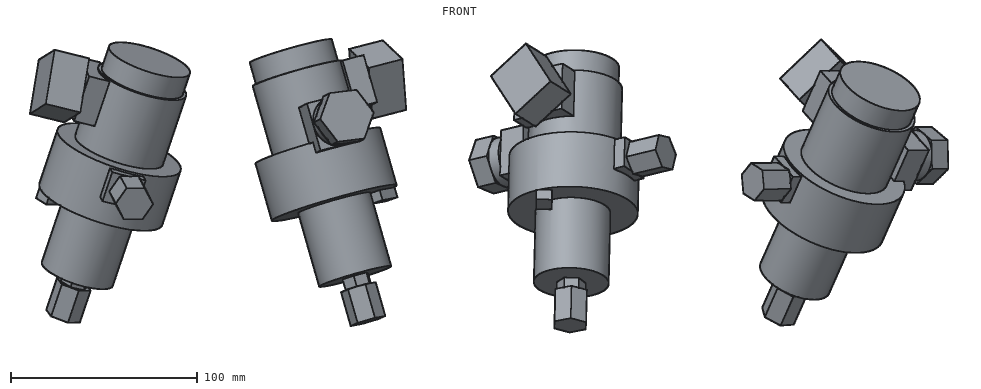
import cadquery as cq

LEAN_SIDE = 0.0242
LEAN_BACK = 0.4323
PORT_SLOPE_Y = -0.61
port_slope_z = -(LEAN_SIDE + LEAN_BACK * PORT_SLOPE_Y)

BONNET_DIA = 40.3
FLANGE_DIA = 69.8
BARREL_DIA = 49.8
CAP_DIA = 46.0
FLANGE_BOTTOM = 41.1
FLANGE_TOP = 73.1
BARREL_TOP = 113.6
CAP_TOP = 126.2

PAD_LENGTH = 30.5
PAD_HEIGHT = 26.4
PAD_CENTRE_X = -2.2
PAD_CENTRE_Z = 99.8
PAD_BACK = 20.6
PAD_FACE = 33.0
HEAD_CENTRE_X = -0.5
HEAD_CENTRE_Z = 99.6
HEAD_DEPTH = 19.9
HEAD_TURN = 57.3

INLET_Z = 80.4
INLET_BLOCK_INNER = 25.6
INLET_BLOCK_OUTER = 40.0
INLET_BLOCK_Y = 1.1
INLET_BLOCK_WIDTH = 25.1
INLET_BLOCK_HEIGHT = 26.4
COLLAR_DIA = 27.0
COLLAR_END = 46.4
INLET_HEX_END = 57.7
INLET_HEX_DIA = 30.7
INLET_HEX_TURN = 7

OUTLET_Z = 63.5
OUTLET_BLOCK_INNER = 33.7
OUTLET_BLOCK_OUTER = 40.2
OUTLET_BLOCK_Y = -2.2
OUTLET_BLOCK_WIDTH = 19.2
OUTLET_BLOCK_HEIGHT = 17
OUTLET_HEX_END = 59
OUTLET_HEX_DIA = 20.5
OUTLET_HEX_TURN = 13

SHANK_DIA = 15.5
SHANK_LENGTH = 6.0
SCREW_HEAD_DIA = 19.5
SCREW_HEAD_LENGTH = 19.0
SCREW_TURN = 5
HALF_FLAT_TURN = 30

TAB_TURN = 33.1
TAB_WIDTH = 8.4
TAB_CENTRE_X = -15.4
TAB_INNER = 16.1
TAB_OUTER = 29.6
TAB_HEIGHT = 5.6

POSE = cq.Plane(
    origin=(0, 0, 0),
    xDir=(1, PORT_SLOPE_Y, port_slope_z),
    normal=(LEAN_SIDE, LEAN_BACK, 1),
)


def cylinder_z(diameter, bottom, top):
    return cq.Workplane("XY").workplane(offset=bottom).circle(diameter / 2).extrude(top - bottom)


def box_between(x_range, y_range, z_range):
    size = [high - low for low, high in (x_range, y_range, z_range)]
    corner = [low for low, high in (x_range, y_range, z_range)]
    return cq.Workplane("XY").box(*size, centered=False).translate(tuple(corner))


def centred_range(centre, size):
    return (centre - size / 2, centre + size / 2)


def port_hexagon(across_corners, start, end, height, turn):
    """Hexagonal bar along the port axis."""
    bar = cq.Workplane("YZ").polygon(6, across_corners).extrude(end - start)
    return bar.rotate((0, 0, 0), (1, 0, 0), turn).translate((start, 0, height))


def make_column():
    column = cylinder_z(BONNET_DIA, 0, FLANGE_BOTTOM)
    column = column.union(cylinder_z(FLANGE_DIA, FLANGE_BOTTOM, FLANGE_TOP))
    column = column.union(cylinder_z(BARREL_DIA, FLANGE_TOP, BARREL_TOP))
    return column.union(cylinder_z(CAP_DIA, BARREL_TOP, CAP_TOP))


def make_pad():
    return box_between(
        centred_range(PAD_CENTRE_X, PAD_LENGTH),
        (-PAD_FACE, -PAD_BACK),
        centred_range(PAD_CENTRE_Z, PAD_HEIGHT),
    )


def make_inlet():
    block = box_between(
        (-INLET_BLOCK_OUTER, -INLET_BLOCK_INNER),
        centred_range(INLET_BLOCK_Y, INLET_BLOCK_WIDTH),
        centred_range(INLET_Z, INLET_BLOCK_HEIGHT),
    )
    collar_length = COLLAR_END - INLET_BLOCK_OUTER
    collar = cq.Workplane("YZ").circle(COLLAR_DIA / 2).extrude(collar_length)
    collar = collar.translate((-COLLAR_END, 0, INLET_Z))
    hexagon = port_hexagon(INLET_HEX_DIA, -INLET_HEX_END, -COLLAR_END, INLET_Z, INLET_HEX_TURN)
    return block.union(collar).union(hexagon)


def make_outlet():
    block = box_between(
        (OUTLET_BLOCK_INNER, OUTLET_BLOCK_OUTER),
        centred_range(OUTLET_BLOCK_Y, OUTLET_BLOCK_WIDTH),
        centred_range(OUTLET_Z, OUTLET_BLOCK_HEIGHT),
    )
    hexagon = port_hexagon(
        OUTLET_HEX_DIA, OUTLET_BLOCK_OUTER, OUTLET_HEX_END, OUTLET_Z, OUTLET_HEX_TURN
    )
    return block.union(hexagon)


def make_tab():
    tab = box_between(
        centred_range(TAB_CENTRE_X, TAB_WIDTH),
        (-TAB_OUTER, -TAB_INNER),
        (FLANGE_BOTTOM - TAB_HEIGHT, FLANGE_BOTTOM),
    )
    return tab.rotate((0, 0, 0), (0, 0, 1), TAB_TURN)


def make_housing():
    housing = make_column()
    for feature in (make_pad(), make_inlet(), make_outlet(), make_tab()):
        housing = housing.union(feature)
    return housing


def make_head():
    """Rectangular block turned about the pad's normal and seated on its face."""
    head = cq.Workplane("XZ").rect(PAD_LENGTH, PAD_HEIGHT).extrude(HEAD_DEPTH)
    head = head.rotate((0, 0, 0), (0, 1, 0), HEAD_TURN)
    return head.translate((HEAD_CENTRE_X, -PAD_FACE, HEAD_CENTRE_Z))


def make_screw():
    """Hexagonal screw head on a smaller hexagonal shank turned by half a flat."""
    shank = cq.Workplane("XY").polygon(6, SHANK_DIA).extrude(-SHANK_LENGTH)
    shank = shank.rotate((0, 0, 0), (0, 0, 1), SCREW_TURN + HALF_FLAT_TURN)
    head = cq.Workplane("XY").polygon(6, SCREW_HEAD_DIA).extrude(-SCREW_HEAD_LENGTH)
    head = head.rotate((0, 0, 0), (0, 0, 1), SCREW_TURN).translate((0, 0, -SHANK_LENGTH))
    return shank.union(head)


def posed(body):
    return body.val().moved(cq.Location(POSE))


housing = make_housing()
head = make_head()
screw = make_screw()

result = cq.Compound.makeCompound([posed(housing), posed(head), posed(screw)])